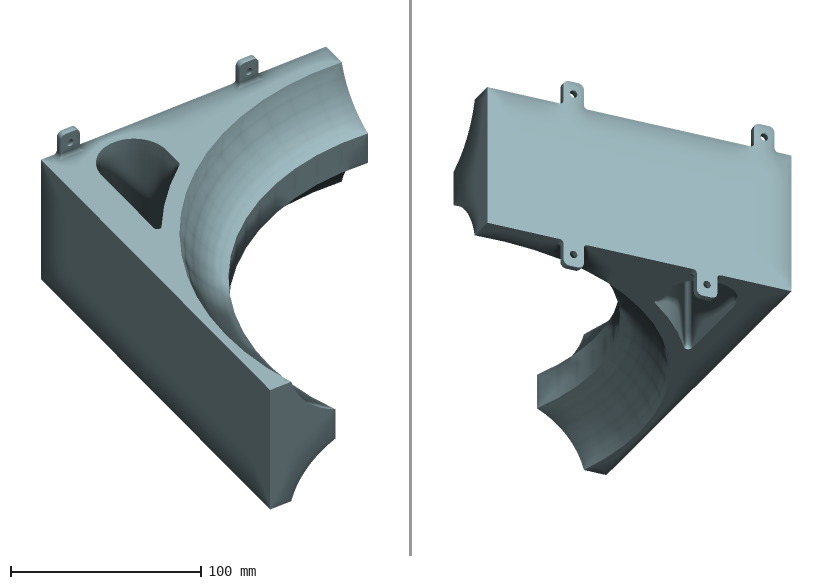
import cadquery as cq
import math

block_length = 226.5
block_depth = 177.0
block_height = 81.0
half_height = block_height / 2
turn_angle = -18.0

arc_x = 175.5
arc_y = 165.2
outer_radius = 160.5
rim_radius = 134.7
rim_height = 20.0
flank_sag = 4.5

window_x = 28.1
window_y = 40.0
window_radius = 20.0
window_wall = 9.5
window_corner_radius = 2.1

tab_width = 12.0
tab_height = 14.5
tab_thickness = 3.8
tab_corner_radius = 3.3
tab_root_radius = 2.1
hole_diameter = 4.3
hole_height = 7.5
far_tab_y = 126.8
top_near_tab_y = 15.7
bottom_near_tab_y = 49.0


def make_wall_cutter():
    """Solid of revolution that leaves the concave-flanked rim on the curved wall."""
    rim_half = rim_height / 2
    run = outer_radius - rim_radius
    rise = half_height - rim_half
    chord = math.hypot(run, rise)
    middle_radius = (outer_radius + rim_radius) / 2 + flank_sag * rise / chord
    middle_z = (half_height + rim_half) / 2 - flank_sag * run / chord
    profile = (
        cq.Workplane("XZ")
        .moveTo(0, -half_height)
        .lineTo(outer_radius, -half_height)
        .threePointArc((middle_radius, -middle_z), (rim_radius, -rim_half))
        .lineTo(rim_radius, rim_half)
        .threePointArc((middle_radius, middle_z), (outer_radius, half_height))
        .lineTo(0, half_height)
        .close()
    )
    return profile.revolve(360, (0, 0, 0), (0, 1, 0)).translate((arc_x, arc_y, 0))


def make_window():
    """Half-round slot whose open end follows the curved wall."""
    slot_length = block_length - window_x
    window = (
        cq.Workplane("XY", origin=(window_x, window_y, -half_height))
        .circle(window_radius)
        .extrude(block_height)
    )
    slot = cq.Workplane("XY").box(
        slot_length, 2 * window_radius, block_height, centered=(False, True, True)
    ).translate((window_x, window_y, 0))
    wall_keeper = (
        cq.Workplane("XY", origin=(arc_x, arc_y, -half_height))
        .circle(outer_radius + window_wall)
        .extrude(block_height)
    )
    window = window.union(slot).cut(wall_keeper).solids("<X")
    corners = cq.selectors.BoxSelector(
        (window_x + window_radius / 2, 0, -block_height),
        (block_length, block_depth, block_height),
    )
    return cq.Workplane(window.val()).edges("|Z").edges(corners).fillet(window_corner_radius)


def make_tab(y, side):
    """Drilled tab flush with the X = 0 face; side is +1 on top and -1 underneath."""
    tab = (
        cq.Workplane("XY")
        .box(tab_thickness, tab_width, 2 * tab_height, centered=(False, True, True))
        .edges("|X")
        .fillet(tab_corner_radius)
    )
    hole = (
        cq.Workplane("YZ")
        .center(0, side * hole_height)
        .circle(hole_diameter / 2)
        .extrude(tab_thickness)
    )
    return tab.cut(hole).translate((0, y, side * half_height))


def round_tab_root(body, y, side):
    """Fillet the side and back edges where a tab meets the block."""
    margin = 0.2
    z = side * half_height
    root = cq.selectors.BoxSelector(
        (margin, y - tab_width / 2 - margin, z - margin),
        (tab_thickness + margin, y + tab_width / 2 + margin, z + margin),
    )
    return body.edges(root).fillet(tab_root_radius)


block = cq.Workplane("XY").box(
    block_length, block_depth, block_height, centered=(False, False, True)
)
body = block.cut(make_wall_cutter()).cut(make_window())

tab_places = [
    (far_tab_y, 1),
    (top_near_tab_y, 1),
    (far_tab_y, -1),
    (bottom_near_tab_y, -1),
]
for tab_y, tab_side in tab_places:
    body = body.union(make_tab(tab_y, tab_side))
    body = round_tab_root(body, tab_y, tab_side)

result = body.rotate((0, 0, 0), (0, 0, 1), turn_angle)